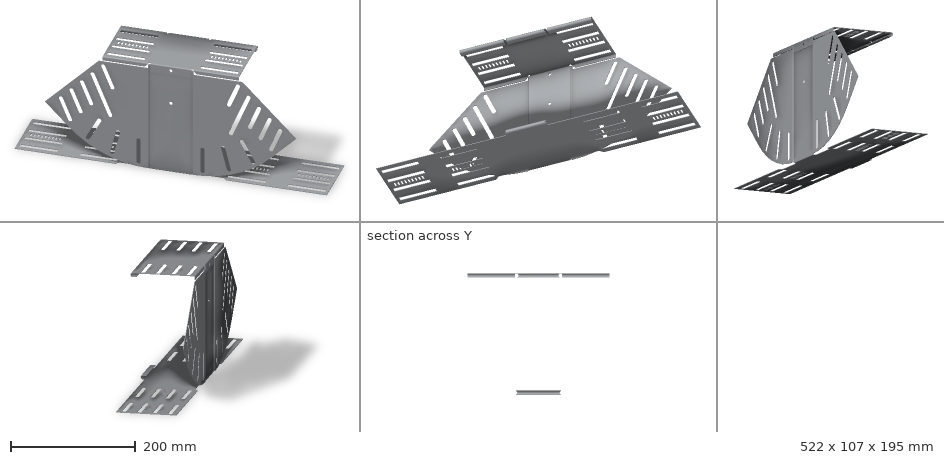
import cadquery as cq
import math

SHEET = 1.0
FLANGE_BEND_RADIUS = 2.0
BASE_BEND_RADIUS = 1.2
HEIGHT = 195.0

WING_FRONT_Y = -53.5
TAB_FRONT_Y = WING_FRONT_Y + SHEET
PANEL_FRONT_Y = TAB_FRONT_Y + SHEET
PANEL_BACK_Y = PANEL_FRONT_Y + SHEET
LIP_BACK_Y = 53.5

LIP_HEIGHT = 7.0
LIP_RADIUS = LIP_HEIGHT / 2
LIP_TIP_Y = 43.5
LIP_BEND_Y = LIP_BACK_Y - LIP_RADIUS

TOP_LENGTH = 228.0
NOTCH_INNER_X = 34.0
NOTCH_OUTER_X = 37.5
NOTCH_DEPTH = 3.5
LIP_NOTCH_Y = 47.5
LIP_TAPER = 3.0
FLANGE_BOTTOM_Z = HEIGHT - LIP_HEIGHT
FLANGE_CHAMFER = 6.0
TAB_BOTTOM_Z = 180.0

BASE_LENGTH = 522.0
BASE_BACK_Y = 46.2
BASE_RECESS_X = 87.0
BASE_RECESS = 6.0
BASE_LIP_X = 36.0

PANEL_HALF = 36.0
STEP_INSIDE_RADIUS = 0.5
STEP_OUTSIDE_RADIUS = STEP_INSIDE_RADIUS + SHEET
STEP_OUTER_X = PANEL_HALF + STEP_INSIDE_RADIUS + STEP_OUTSIDE_RADIUS
PANEL_TOP_Z = HEIGHT - FLANGE_BEND_RADIUS
WING_TOP_Z = 186.5
WING_BOTTOM_Z = 1.5
WING_TIP = (210.0, 96.5)
ARC_START_X = 38.0

HOLE_DIAMETER = 5.5
HOLE_HEIGHTS = (126.6, 187.0)

WING_SLOT_WIDTH = 7.0
WING_SLOT_LENGTH = 47.0
LONG_SLOT_LENGTH = 84.0
FAN_COUNT = 5
FAN_LONG_INDEX = 1
FAN_PITCH = 25.0
FAN_START = (112.7, 177.6)
FAN_ANGLE = 112.5
LOWER_SLOTS = ((53.5, 30.7, 90.0), (92.7, 40.3, 76.0), (128.7, 58.7, 61.5))

PLATE_SLOT_LENGTH = 63.0
PLATE_SLOT_WIDTH = 7.0
SLOT_ROWS = 4
SLOT_ROW_PITCH = 25.0
SLOT_FIELD_Y = -3.0
RUNG_COUNT = 9
RUNG_PITCH = 6.0
RUNG_WIDTH = 3.0
RUNG_LENGTH = 8.0
TOP_FIELD_X = 78.0
BASE_FIELDS_X = (123.5, 224.0)


def box_between(x_range, y_range, z_range):
    """Axis-aligned block between the given limits."""
    size = [limits[1] - limits[0] for limits in (x_range, y_range, z_range)]
    corner = (x_range[0], y_range[0], z_range[0])
    return cq.Workplane("XY").box(*size, centered=False).translate(corner)


def extrude_along_x(sketch, half_length):
    """Extrude a YZ outline equally to both sides of the YZ plane."""
    return sketch.extrude(half_length, both=True)


def strip(front_y, back_y, leg_z, half_length, radius):
    """Bottom plate strip with its front leg rising to leg_z."""
    outline = (
        cq.Workplane("YZ")
        .moveTo(back_y, 0)
        .lineTo(front_y + radius, 0)
        .radiusArc((front_y, radius), radius)
        .lineTo(front_y, leg_z)
        .lineTo(front_y + SHEET, leg_z)
        .lineTo(front_y + SHEET, radius)
        .radiusArc((front_y + radius, SHEET), SHEET - radius)
        .lineTo(back_y, SHEET)
        .close()
    )
    return extrude_along_x(outline, half_length)


def lip(half_length):
    """Hooked lip that rises from the back edge of a bottom plate and turns forward."""
    outline = (
        cq.Workplane("YZ")
        .moveTo(LIP_TIP_Y, 0)
        .lineTo(LIP_BEND_Y, 0)
        .threePointArc((LIP_BACK_Y, LIP_RADIUS), (LIP_BEND_Y, LIP_HEIGHT))
        .lineTo(LIP_TIP_Y, LIP_HEIGHT)
        .lineTo(LIP_TIP_Y, LIP_HEIGHT - SHEET)
        .lineTo(LIP_BEND_Y, LIP_HEIGHT - SHEET)
        .threePointArc((LIP_BACK_Y - SHEET, LIP_RADIUS), (LIP_BEND_Y, SHEET))
        .lineTo(LIP_TIP_Y, SHEET)
        .close()
    )
    return extrude_along_x(outline, half_length)


def slot_field(center_x):
    """Cutter for four long slots with a row of short cross slots in the middle."""
    depth = 2 * SHEET
    long_slots = (
        cq.Workplane("XY")
        .center(center_x, SLOT_FIELD_Y)
        .rarray(1, SLOT_ROW_PITCH, 1, SLOT_ROWS)
        .rect(PLATE_SLOT_LENGTH, PLATE_SLOT_WIDTH)
        .extrude(depth, both=True)
    )
    rungs = (
        cq.Workplane("XY")
        .center(center_x, SLOT_FIELD_Y)
        .rarray(RUNG_PITCH, 1, RUNG_COUNT, 1)
        .rect(RUNG_WIDTH, RUNG_LENGTH)
        .extrude(depth, both=True)
    )
    return long_slots.add(rungs).combine()


def wall_slot(x, z, length, angle):
    """Cutter for one round-ended slot in the wall."""
    return (
        cq.Workplane("XZ")
        .center(x, z)
        .transformed(rotate=(0, 0, angle))
        .slot2D(length, WING_SLOT_WIDTH)
        .extrude(2 * abs(WING_FRONT_Y))
    )


def rivet_holes():
    """Cutter for the holes on the wall centre line."""
    return (
        cq.Workplane("XZ")
        .pushPoints([(0, z) for z in HOLE_HEIGHTS])
        .circle(HOLE_DIAMETER / 2)
        .extrude(2 * abs(WING_FRONT_Y))
    )


def mirrored_pair(shape):
    """A shape together with its mirror image across the YZ plane."""
    return shape, shape.mirror("YZ")


def make_top_cover():
    """Upper plate with hooked lip, side flanges, middle tab and slots."""
    half = TOP_LENGTH / 2
    cover = strip(TAB_FRONT_Y, LIP_TIP_Y, HEIGHT - TAB_BOTTOM_Z, half, FLANGE_BEND_RADIUS)
    cover = cover.union(lip(half), clean=True)
    flange_depth = HEIGHT - FLANGE_BOTTOM_Z
    below_flange = box_between(
        (NOTCH_OUTER_X, half), (TAB_FRONT_Y, PANEL_FRONT_Y), (flange_depth, HEIGHT)
    )
    flange_chamfer = (
        cq.Workplane("XZ")
        .polyline([
            (NOTCH_OUTER_X, flange_depth - FLANGE_CHAMFER),
            (NOTCH_OUTER_X + FLANGE_CHAMFER, flange_depth),
            (NOTCH_OUTER_X, flange_depth),
        ])
        .close()
        .extrude(-2 * TAB_FRONT_Y)
    )
    notch_x = (NOTCH_INNER_X, NOTCH_OUTER_X)
    front_notch = box_between(notch_x, (TAB_FRONT_Y, TAB_FRONT_Y + NOTCH_DEPTH), (0, HEIGHT))
    lip_notch = (
        cq.Workplane("XY")
        .polyline([
            (NOTCH_INNER_X, LIP_NOTCH_Y),
            (NOTCH_OUTER_X, LIP_NOTCH_Y),
            (NOTCH_OUTER_X, LIP_BACK_Y),
            (NOTCH_INNER_X - LIP_TAPER, LIP_BACK_Y),
            (NOTCH_INNER_X, LIP_BACK_Y - LIP_TAPER),
        ])
        .close()
        .extrude(LIP_HEIGHT)
    )
    lip_return_notch = box_between(notch_x, (LIP_TIP_Y, LIP_NOTCH_Y), (LIP_RADIUS, LIP_HEIGHT))
    cutters = (
        below_flange, flange_chamfer, front_notch, lip_notch, lip_return_notch,
        slot_field(TOP_FIELD_X),
    )
    for cutter in cutters:
        for copy in mirrored_pair(cutter):
            cover = cover.cut(copy)
    cover = cover.mirror("XY").translate((0, 0, HEIGHT))
    return cover.cut(rivet_holes())


def make_base_plate():
    """Flat lower plate with a recessed front edge, a short back lip and slots."""
    half = BASE_LENGTH / 2
    recess_y = TAB_FRONT_Y + BASE_RECESS
    plate = (
        cq.Workplane("XY")
        .polyline([
            (-half, TAB_FRONT_Y),
            (-BASE_RECESS_X - BASE_RECESS, TAB_FRONT_Y),
            (-BASE_RECESS_X, recess_y),
            (BASE_RECESS_X, recess_y),
            (BASE_RECESS_X + BASE_RECESS, TAB_FRONT_Y),
            (half, TAB_FRONT_Y),
            (half, BASE_BACK_Y),
            (-half, BASE_BACK_Y),
        ])
        .close()
        .extrude(SHEET)
    )
    lip_taper = (
        cq.Workplane("XY")
        .polyline([
            (BASE_LIP_X - LIP_TAPER, LIP_BACK_Y),
            (BASE_LIP_X, LIP_BACK_Y),
            (BASE_LIP_X, LIP_BACK_Y - LIP_TAPER),
        ])
        .close()
        .extrude(LIP_HEIGHT)
    )
    back_lip = lip(BASE_LIP_X)
    for taper in mirrored_pair(lip_taper):
        back_lip = back_lip.cut(taper)
    plate = plate.union(back_lip, clean=True)
    for x in BASE_FIELDS_X:
        for field in mirrored_pair(slot_field(x)):
            plate = plate.cut(field)
    return plate


def wing_outline():
    """Front outline of the right wing, running inward to the step."""
    tip_x, tip_z = WING_TIP
    turn = math.radians(45)
    rise = (tip_x - tip_z) - (ARC_START_X - WING_BOTTOM_Z)
    radius = rise / (math.sin(turn) + math.cos(turn) - 1)
    center_z = WING_BOTTOM_Z + radius

    def on_arc(angle):
        return ARC_START_X + radius * math.sin(angle), center_z - radius * math.cos(angle)

    return (
        cq.Workplane("XZ")
        .moveTo(PANEL_HALF, WING_BOTTOM_Z)
        .lineTo(ARC_START_X, WING_BOTTOM_Z)
        .threePointArc(on_arc(turn / 2), on_arc(turn))
        .lineTo(tip_x, tip_z)
        .lineTo(tip_x - (WING_TOP_Z - tip_z), WING_TOP_Z)
        .lineTo(STEP_OUTER_X, WING_TOP_Z)
        .lineTo(STEP_OUTER_X, PANEL_TOP_Z)
        .lineTo(PANEL_HALF, PANEL_TOP_Z)
        .close()
    )


def make_wing():
    """Right wing with its step to the recessed panel and its slots."""
    inner_x = PANEL_HALF + STEP_INSIDE_RADIUS
    outer_x = STEP_OUTER_X - STEP_INSIDE_RADIUS
    section = (
        cq.Workplane("XY")
        .moveTo(PANEL_HALF, PANEL_BACK_Y)
        .lineTo(PANEL_HALF, PANEL_FRONT_Y)
        .radiusArc((inner_x, PANEL_FRONT_Y - STEP_INSIDE_RADIUS), -STEP_INSIDE_RADIUS)
        .radiusArc((STEP_OUTER_X, WING_FRONT_Y), STEP_OUTSIDE_RADIUS)
        .lineTo(WING_TIP[0], WING_FRONT_Y)
        .lineTo(WING_TIP[0], TAB_FRONT_Y)
        .lineTo(STEP_OUTER_X, TAB_FRONT_Y)
        .radiusArc((outer_x, TAB_FRONT_Y + STEP_INSIDE_RADIUS), -STEP_INSIDE_RADIUS)
        .radiusArc((PANEL_HALF, PANEL_BACK_Y), STEP_OUTSIDE_RADIUS)
        .close()
        .extrude(HEIGHT)
    )
    wing = section.intersect(wing_outline().extrude(2 * abs(WING_FRONT_Y)))

    slope = math.radians(45)
    fan = math.radians(FAN_ANGLE)
    for index in range(FAN_COUNT):
        length = LONG_SLOT_LENGTH if index == FAN_LONG_INDEX else WING_SLOT_LENGTH
        reach = (length - WING_SLOT_WIDTH) / 2
        x = FAN_START[0] + index * FAN_PITCH * math.cos(slope) + reach * math.cos(fan)
        z = FAN_START[1] - index * FAN_PITCH * math.sin(slope) - reach * math.sin(fan)
        wing = wing.cut(wall_slot(x, z, length, 180 - FAN_ANGLE))
    for x, z, angle in LOWER_SLOTS:
        wing = wing.cut(wall_slot(x, z, WING_SLOT_LENGTH, 180 - angle))
    return wing


def make_lower_part():
    """Lower plate and side wall, bent from one sheet."""
    panel = strip(PANEL_FRONT_Y, BASE_BACK_Y, PANEL_TOP_Z, PANEL_HALF, BASE_BEND_RADIUS)
    part = make_base_plate().union(panel, clean=True)
    for wing in mirrored_pair(make_wing()):
        part = part.union(wing, clean=True)
    return part.cut(rivet_holes())


top_cover = make_top_cover()
lower_part = make_lower_part()
result = cq.Compound.makeCompound([top_cover.solids().val(), lower_part.solids().val()])